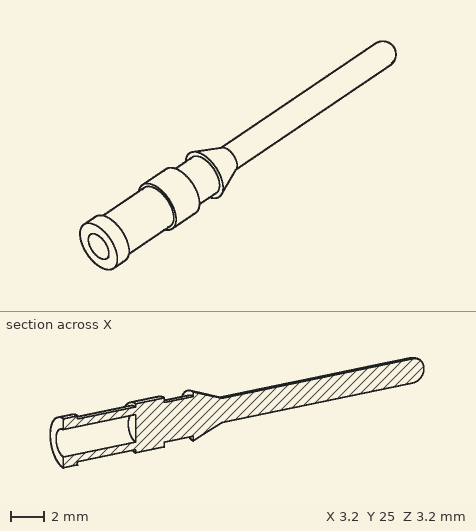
import cadquery as cq


pin_diameter = 1.6
bore_diameter = 1.75
neck_diameter = 2.6
barrel_diameter = 2.8
collar_diameter = 3.2

total_length = 25.0
rim_length = 1.0
barrel_length = 4.0
collar_length = 2.0
neck_length = 2.0
cone_length = 2.0
bore_depth = rim_length + barrel_length

collar_start = rim_length + barrel_length
neck_start = collar_start + collar_length
cone_start = neck_start + neck_length
pin_start = cone_start + cone_length
pin_length = total_length - pin_start


def cylinder(diameter, start, length):
    """Solid cylinder on the Y axis, from start toward +Y."""
    plane = cq.Plane(origin=(0, start, 0), xDir=(1, 0, 0), normal=(0, 1, 0))
    return cq.Workplane(plane).circle(diameter / 2).extrude(length)


def locating_cone():
    """Cone tapering from the collar diameter down to the pin."""
    profile = [
        (0, cone_start),
        (collar_diameter / 2, cone_start),
        (pin_diameter / 2, pin_start),
        (0, pin_start),
    ]
    return cq.Workplane("XY").polyline(profile).close().revolve(360, (0, 0), (0, 1))


def round_tipped_pin():
    """Contact pin ending in a hemisphere."""
    radius = pin_diameter / 2
    shaft_length = pin_length - radius
    dome_center = pin_start + shaft_length
    dome = cq.Workplane("XY").sphere(radius).translate((0, dome_center, 0))
    return cylinder(pin_diameter, pin_start, shaft_length).union(dome)


rim = cylinder(collar_diameter, 0, rim_length)
barrel = cylinder(barrel_diameter, rim_length, barrel_length)
collar = cylinder(collar_diameter, collar_start, collar_length)
neck = cylinder(neck_diameter, neck_start, neck_length)
wire_bore = cylinder(bore_diameter, 0, bore_depth)

body = rim.union(barrel).union(collar).union(neck)
body = body.union(locating_cone()).union(round_tipped_pin())
result = body.cut(wire_bore)